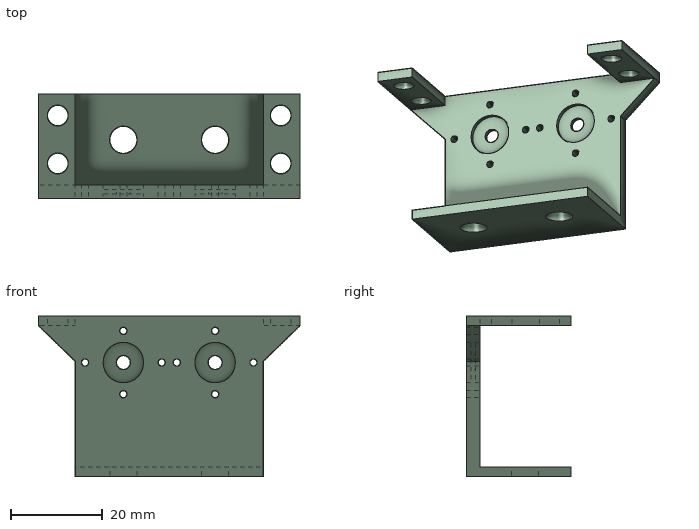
import cadquery as cq

total_width = 57.05
total_depth = 22.8
total_height = 35.0

plate_thickness = 3.0
flange_thickness = 2.1
body_width = 41.0
wing_width = (total_width - body_width) / 2
wing_slope_height = 7.8

motor_spacing = 20.0
motor_drop = 10.15
shaft_diameter = 3.0
boss_recess_diameter = 8.8
boss_recess_depth = 1.0
screw_diameter = 1.5
screw_offset_x = 8.35
screw_offset_z = 6.9

ear_hole_diameter = 4.46
ear_hole_spacing_x = 48.6
ear_hole_spacing_y = 10.45
ear_hole_back_margin = 4.7

floor_hole_diameter = 5.89
floor_hole_back_margin = 10.0

motor_centers_x = (-motor_spacing / 2, motor_spacing / 2)
motor_z = total_height - motor_drop


def make_plate():
    """Upright plate whose sides flare out to the mounting ears."""
    flare_top = total_height - flange_thickness
    flare_bottom = flare_top - wing_slope_height
    right_side = [
        (body_width / 2, 0),
        (body_width / 2, flare_bottom),
        (total_width / 2, flare_top),
        (total_width / 2, total_height),
    ]
    left_side = [(-x, z) for x, z in reversed(right_side)]
    return cq.Workplane("XZ").polyline(right_side + left_side).close().extrude(-plate_thickness)


def make_floor():
    """Bottom flange, as wide as the plate body."""
    return cq.Workplane("XY").box(
        body_width, total_depth, flange_thickness, centered=(True, False, False)
    )


def make_ear(side):
    """Top flange on one side: -1 for left, +1 for right."""
    center_x = side * (body_width + wing_width) / 2
    return (
        cq.Workplane("XY", origin=(center_x, 0, total_height - flange_thickness))
        .box(wing_width, total_depth, flange_thickness, centered=(True, False, False))
    )


def plate_cylinders(points, diameter, depth, start_y=0):
    """Cylinders running toward +Y from start_y at the given (x, z) points."""
    return (
        cq.Workplane("XZ", origin=(0, start_y, 0))
        .pushPoints(points)
        .circle(diameter / 2)
        .extrude(-depth)
    )


def vertical_holes(points, diameter, bottom_z):
    """Cylinders one flange thick, rising from bottom_z at the given (x, y) points."""
    return (
        cq.Workplane("XY", origin=(0, 0, bottom_z))
        .pushPoints(points)
        .circle(diameter / 2)
        .extrude(flange_thickness)
    )


def cut_motor_mount(body, center_x):
    """Shaft hole, front and rear recesses and four screw holes for one motor."""
    center = [(center_x, motor_z)]
    screws = [
        (center_x - screw_offset_x, motor_z),
        (center_x + screw_offset_x, motor_z),
        (center_x, motor_z - screw_offset_z),
        (center_x, motor_z + screw_offset_z),
    ]
    for start_y in (0, plate_thickness - boss_recess_depth):
        body = body.cut(plate_cylinders(center, boss_recess_diameter, boss_recess_depth, start_y))
    body = body.cut(plate_cylinders(center, shaft_diameter, plate_thickness))
    return body.cut(plate_cylinders(screws, screw_diameter, plate_thickness))


def cut_ear_holes(body):
    """Two fixing holes through each ear."""
    rear_y = total_depth - ear_hole_back_margin
    points = [
        (side * ear_hole_spacing_x / 2, y)
        for side in (-1, 1)
        for y in (rear_y, rear_y - ear_hole_spacing_y)
    ]
    return body.cut(vertical_holes(points, ear_hole_diameter, total_height - flange_thickness))


def cut_floor_holes(body):
    """One hole through the bottom flange behind each motor mount."""
    hole_y = total_depth - floor_hole_back_margin
    points = [(x, hole_y) for x in motor_centers_x]
    return body.cut(vertical_holes(points, floor_hole_diameter, 0))


bracket = make_plate().union(make_floor()).union(make_ear(-1)).union(make_ear(1))
for motor_x in motor_centers_x:
    bracket = cut_motor_mount(bracket, motor_x)
bracket = cut_ear_holes(bracket)
result = cut_floor_holes(bracket)